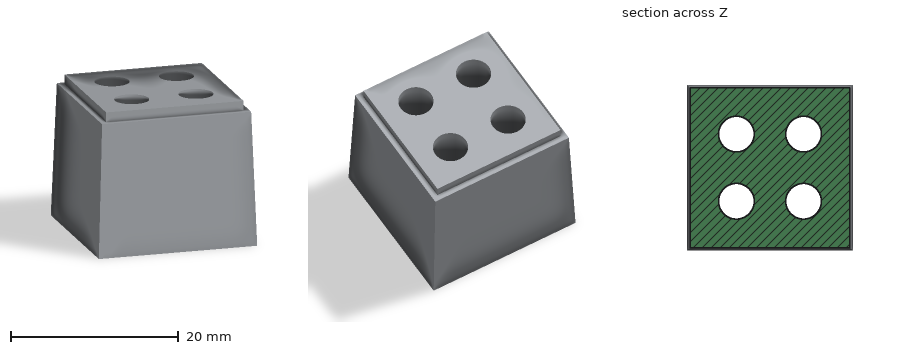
import math

import cadquery as cq

base_width = 19.71
body_height = 16.5
draft_angle = 2.0
body_top_width = base_width - 2 * body_height * math.tan(math.radians(draft_angle))

pad_width = 17.1
pad_height = 1.2
total_height = body_height + pad_height

hole_diameter = 4.2
hole_pitch = 8.0
holes_per_side = 2


def make_body():
    """Square frustum standing on the XY plane."""
    return (
        cq.Workplane("XY")
        .rect(base_width, base_width)
        .workplane(offset=body_height)
        .rect(body_top_width, body_top_width)
        .loft(ruled=True)
    )


def make_pad():
    """Straight-sided pad that leaves a narrow ledge around the body top."""
    return (
        cq.Workplane("XY")
        .workplane(offset=body_height)
        .rect(pad_width, pad_width)
        .extrude(pad_height)
    )


def make_holes():
    """Vertical cylinders running the full height of the part."""
    return (
        cq.Workplane("XY")
        .rarray(hole_pitch, hole_pitch, holes_per_side, holes_per_side)
        .circle(hole_diameter / 2)
        .extrude(total_height)
    )


result = make_body().union(make_pad()).cut(make_holes())